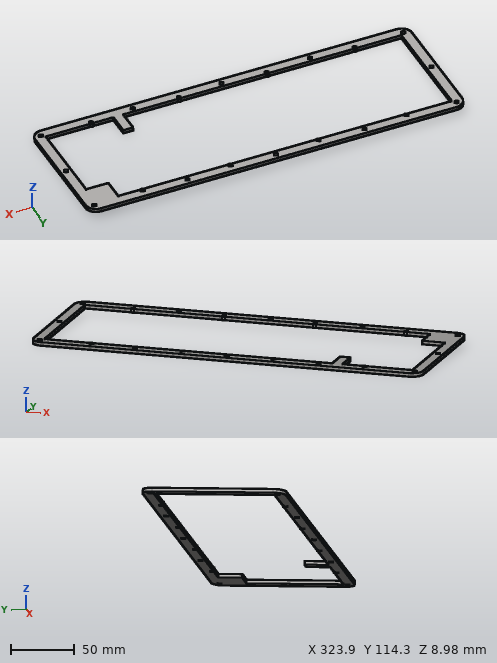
import cadquery as cq

PITCH = 19.05

LENGTH = 17 * PITCH
WIDTH = 6 * PITCH
THICKNESS = 3.0
CORNER_RADIUS = 9.0
TILT_ANGLE = 3.0

CLEARANCE = 0.5
OPENING_LENGTH = 16 * PITCH + 2 * CLEARANCE
OPENING_WIDTH = 5 * PITCH + 2 * CLEARANCE
RIM = (LENGTH - OPENING_LENGTH) / 2

PAD_SIZE = PITCH

TAB_LEFT = 4.5 * PITCH + CLEARANCE
TAB_WIDTH = PITCH / 2 - 2 * CLEARANCE
TAB_LENGTH = PITCH

OVERLAP = RIM / 2

SCREW_DIAMETER = 3.3
CORNER_HOLE_X = 155.8
CORNER_HOLE_Y = 51.0
END_HOLE_X = (LENGTH - PITCH / 2) / 2
RAIL_HOLE_SPACING = 4 * PITCH
RAIL_HOLE_Y = 52.1

EDGE_HOLE_DIAMETER = 3.1
EDGE_BOSS_WALL = 0.5
EDGE_BOSS_DIAMETER = EDGE_HOLE_DIAMETER + 2 * EDGE_BOSS_WALL
EDGE_HOLE_X = (37.8, 113.4)
EDGE_HOLE_Y = OPENING_WIDTH / 2 + EDGE_HOLE_DIAMETER / 2


def block(x_min, y_min, length, width):
    """Full-thickness block placed by its lower left corner."""
    return cq.Workplane("XY").box(length, width, THICKNESS, centered=False).translate((x_min, y_min, 0))


def cylinders(points, diameter):
    """Full-thickness cylinders, used as bosses or as drills."""
    return cq.Workplane("XY").pushPoints(points).circle(diameter / 2).extrude(THICKNESS)


def four_way(x, y):
    """A point mirrored across both centre lines of the frame."""
    return [(x, y), (-x, y), (-x, -y), (x, -y)]


def make_frame():
    """Rounded plate with a rectangular opening."""
    plate = cq.Workplane("XY").box(LENGTH, WIDTH, THICKNESS, centered=(True, True, False))
    plate = plate.edges("|Z").fillet(CORNER_RADIUS)
    opening = block(-OPENING_LENGTH / 2, -OPENING_WIDTH / 2, OPENING_LENGTH, OPENING_WIDTH)
    return plate.cut(opening)


def add_pad(frame):
    """Square pad in the rear right corner of the opening."""
    side = PAD_SIZE + OVERLAP
    return frame.union(block(OPENING_LENGTH / 2 - PAD_SIZE, OPENING_WIDTH / 2 - PAD_SIZE, side, side))


def add_tab(frame):
    """Tab reaching from the front rail into the opening."""
    return frame.union(block(TAB_LEFT, -OPENING_WIDTH / 2 - OVERLAP, TAB_WIDTH, TAB_LENGTH + OVERLAP))


def cut_screw_holes(frame):
    """Through holes at the corners, the end rails and along the long rails."""
    points = four_way(CORNER_HOLE_X, CORNER_HOLE_Y)
    points += [(-END_HOLE_X, 0), (END_HOLE_X, 0)]
    for step in (-1, 0, 1):
        for side in (-1, 1):
            points.append((step * RAIL_HOLE_SPACING, side * RAIL_HOLE_Y))
    return frame.cut(cylinders(points, SCREW_DIAMETER))


def add_edge_holes(frame):
    """Bosses that bulge into the opening, each drilled through."""
    points = []
    for x in EDGE_HOLE_X:
        points += four_way(x, EDGE_HOLE_Y)
    frame = frame.union(cylinders(points, EDGE_BOSS_DIAMETER))
    return frame.cut(cylinders(points, EDGE_HOLE_DIAMETER))


frame = make_frame()
frame = add_pad(frame)
frame = add_tab(frame)
frame = cut_screw_holes(frame)
frame = add_edge_holes(frame)

result = frame.rotate((0, 0, 0), (1, 0, 0), TILT_ANGLE)